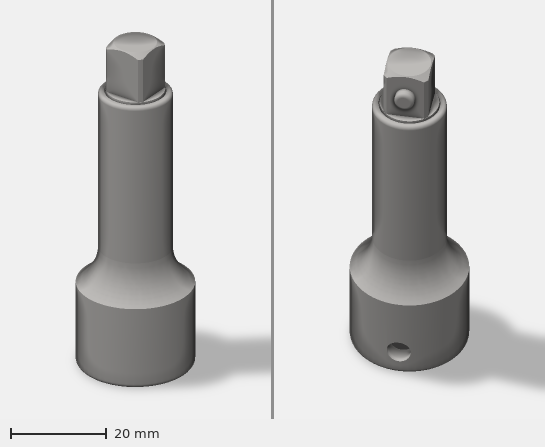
import cadquery as cq
import math

overall_height = 75.3
shoulder_z = 18.75
flare_top_z = 27.1
sleeve_top_z = 63.85
collar_top_z = 64.3

base_radius = 12.5
shank_radius = 7.8
foot_fillet = 0.9
shank_fillet = 0.75

recess_depth = 0.9
recess_radius = 6.5
recess_floor_z = sleeve_top_z - recess_depth

release_hole_diameter = 5.1
release_hole_z = 5.7
release_hole_depth = 3.8

drive_width = 9.5
drive_corner_radius = 6.2
collar_radius = 6.25
tip_flat_radius = 4.5
tip_bevel_drop = 1.0

pin_radius = 2.1
pin_z = 69.7
pin_end_y = 6.8
pin_seat_y = 2.25
pin_fillet = 0.75


def cylinder_along_y(radius, center_z, start_y, end_y):
    """Cylinder parallel to Y, between two Y positions."""
    start = cq.Vector(0, start_y, center_z)
    solid = cq.Solid.makeCylinder(radius, end_y - start_y, start, cq.Vector(0, 1, 0))
    return cq.Workplane(solid)


def make_sleeve():
    """Turned sleeve whose concave flare leaves the shank tangentially."""
    flare_width = base_radius - shank_radius
    flare_height = flare_top_z - shoulder_z
    flare_radius = (flare_width**2 + flare_height**2) / (2 * flare_width)
    half_angle = math.asin(flare_height / flare_radius) / 2
    flare_middle = (
        shank_radius + flare_radius * (1 - math.cos(half_angle)),
        flare_top_z - flare_radius * math.sin(half_angle),
    )
    sleeve = (
        cq.Workplane("XZ")
        .lineTo(base_radius, 0)
        .lineTo(base_radius, shoulder_z)
        .threePointArc(flare_middle, (shank_radius, flare_top_z))
        .lineTo(shank_radius, sleeve_top_z)
        .lineTo(0, sleeve_top_z)
        .close()
        .revolve(360, (0, 0), (0, 1))
    )
    sleeve = sleeve.faces("<Z").edges().fillet(foot_fillet)
    sleeve = sleeve.faces(">Z").edges().fillet(shank_fillet)
    release_hole = cylinder_along_y(
        release_hole_diameter / 2, release_hole_z, base_radius - release_hole_depth, base_radius
    )
    collar_recess = (
        cq.Workplane("XY")
        .workplane(offset=recess_floor_z)
        .circle(recess_radius)
        .extrude(recess_depth)
    )
    return sleeve.cut(release_hole).cut(collar_recess)


def make_pin():
    """Detent pin with a rounded outer end."""
    pin = cylinder_along_y(pin_radius, pin_z, pin_seat_y, pin_end_y)
    return pin.faces(">Y").edges().fillet(pin_fillet)


def make_drive():
    """Square drive with rounded corners and a bevelled tip, on a round collar."""
    square = (
        cq.Workplane("XY")
        .workplane(offset=recess_floor_z)
        .rect(drive_width, drive_width)
        .extrude(overall_height - recess_floor_z)
    )
    envelope = (
        cq.Workplane("XZ", origin=(0, 0, recess_floor_z))
        .lineTo(drive_corner_radius, 0)
        .lineTo(drive_corner_radius, overall_height - tip_bevel_drop - recess_floor_z)
        .lineTo(tip_flat_radius, overall_height - recess_floor_z)
        .lineTo(0, overall_height - recess_floor_z)
        .close()
        .revolve(360, (0, 0), (0, 1))
    )
    collar = (
        cq.Workplane("XY")
        .workplane(offset=recess_floor_z)
        .circle(collar_radius)
        .extrude(collar_top_z - recess_floor_z)
    )
    pin_hole = cylinder_along_y(pin_radius, pin_z, pin_seat_y, pin_end_y)
    return square.intersect(envelope).union(collar).cut(pin_hole)


sleeve = make_sleeve()
drive = make_drive()
pin = make_pin()

result = cq.Compound.makeCompound([sleeve.val(), drive.val(), pin.val()])